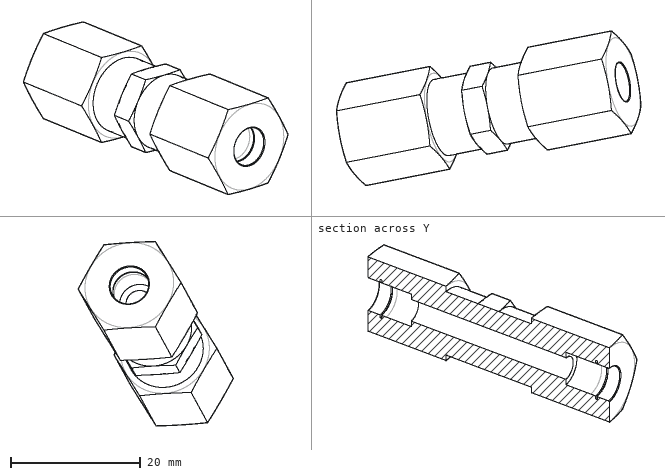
import cadquery as cq
import math

total_length = 44.8
nut_length = 14.5
nut_across_flats = 14.0
nut_chamfer_diameter = 13.95
center_hex_length = 3.9
body_diameter = 12.0
center_hex_across_flats = body_diameter
center_chamfer_diameter = 11.9
corner_chamfer_angle = 14.0

through_bore_diameter = 4.0

nut_mouth_diameter = 6.3
nut_bore_diameter = 6.05
nut_bore_depth = 2.35
nut_mouth_depth = (nut_mouth_diameter - nut_bore_diameter) / 2
gap_diameter = 7.15
gap_width = 0.22
ring_mouth_diameter = nut_bore_diameter
ring_length = 0.9
tube_socket_diameter = 6.0
tube_socket_depth = 8.05


def cylinder_along_x(start, length, diameter):
    return cq.Workplane("YZ").workplane(offset=start).circle(diameter / 2).extrude(length)


def chamfered_hex(start, length, across_flats, face_diameter):
    """Hexagon along X with flats facing +/-Z and its corners turned to a shallow cone at both ends."""
    corner_radius = across_flats / math.sqrt(3)
    face_radius = face_diameter / 2
    chamfer_depth = (corner_radius - face_radius) * math.tan(math.radians(corner_chamfer_angle))
    end = start + length
    prism = cq.Workplane("YZ").workplane(offset=start).polygon(6, 2 * corner_radius).extrude(length)
    envelope = (
        cq.Workplane("XY")
        .moveTo(start, 0)
        .lineTo(start, face_radius)
        .lineTo(start + chamfer_depth, corner_radius)
        .lineTo(end - chamfer_depth, corner_radius)
        .lineTo(end, face_radius)
        .lineTo(end, 0)
        .close()
        .revolve(360, (0, 0, 0), (1, 0, 0))
    )
    return prism.intersect(envelope)


left_end = -total_length / 2
fitting = cylinder_along_x(left_end, total_length, body_diameter)
fitting = fitting.union(
    chamfered_hex(-center_hex_length / 2, center_hex_length, center_hex_across_flats, center_chamfer_diameter)
)

for nut_start in (left_end, -left_end - nut_length):
    fitting = fitting.union(chamfered_hex(nut_start, nut_length, nut_across_flats, nut_chamfer_diameter))

fitting = fitting.cut(cylinder_along_x(left_end, total_length, through_bore_diameter))
ring_start = left_end + nut_bore_depth + gap_width
tube_entry = (
    cq.Workplane("XY")
    .moveTo(left_end, 0)
    .lineTo(left_end, nut_mouth_diameter / 2)
    .lineTo(left_end + nut_mouth_depth, nut_bore_diameter / 2)
    .lineTo(left_end + nut_bore_depth, nut_bore_diameter / 2)
    .lineTo(left_end + nut_bore_depth, gap_diameter / 2)
    .lineTo(ring_start, gap_diameter / 2)
    .lineTo(ring_start, ring_mouth_diameter / 2)
    .lineTo(ring_start + ring_length, tube_socket_diameter / 2)
    .lineTo(left_end + tube_socket_depth, tube_socket_diameter / 2)
    .lineTo(left_end + tube_socket_depth, 0)
    .close()
    .revolve(360, (0, 0, 0), (1, 0, 0))
)
fitting = fitting.cut(tube_entry).cut(tube_entry.mirror("YZ"))

result = fitting